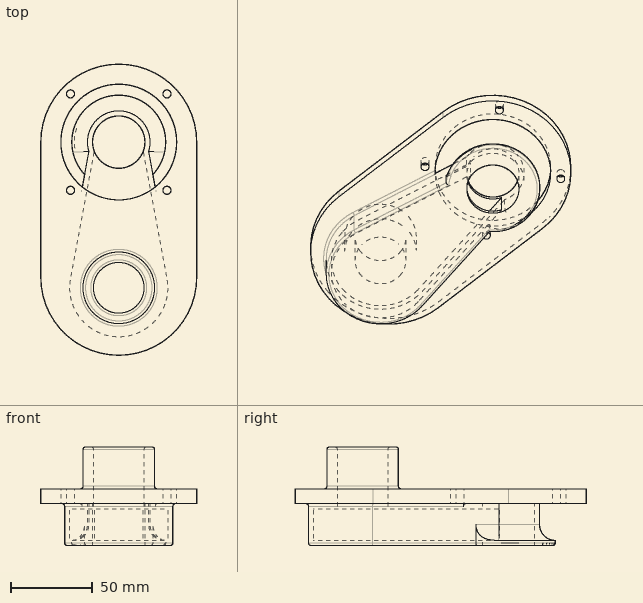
import cadquery as cq
import math

plate_length = 177.8
plate_width = 95.3
plate_thickness = 9.0
plate_center_y = -(plate_length - plate_width) / 2

arm_height = 25.6
wall = 3.2
center_distance = 88.9
arm_end_diameter = 66.3
web_line_offset = 16.9
hub_bore_diameter = 31.8
hub_radius = hub_bore_diameter / 2 + wall

flare_radius = 9.6
flange_radius = hub_radius + flare_radius

spigot_diameter = 43.7
spigot_bore_diameter = 31.0
spigot_height = 25.6

window_diameter = 70.5
screw_hole_diameter = 4.8
screw_hole_spacing = 58.9

edge_round = 1.6

plate_top = arm_height + plate_thickness
arm_end_radius = arm_end_diameter / 2
spigot_center = (0, -center_distance)

wall_tilt = math.asin((arm_end_radius - web_line_offset) / center_distance)


def vertical_cylinder(center, radius, bottom, height):
    return cq.Workplane("XY", origin=(0, 0, bottom)).center(*center).circle(radius).extrude(height)


def arm_volume(hub_end_radius, inset, bottom, height):
    """Round hub end and round arm end joined by a tapered web, with all walls moved in by inset."""
    normal_x = math.cos(wall_tilt)
    normal_y = math.sin(wall_tilt)
    near = web_line_offset - inset
    far = arm_end_radius - inset
    near_x, near_y = near * normal_x, near * normal_y
    far_x, far_y = far * normal_x, far * normal_y - center_distance
    web = (
        cq.Workplane("XY", origin=(0, 0, bottom))
        .moveTo(-near_x, near_y)
        .lineTo(-far_x, far_y)
        .threePointArc((0, -center_distance - far), (far_x, far_y))
        .lineTo(near_x, near_y)
        .close()
        .extrude(height)
    )
    return web.union(vertical_cylinder((0, 0), hub_end_radius, bottom, height))


def flared_foot():
    """Disc at the hub base with a concave flare up to the hub and along both side walls."""
    flare_top = wall + flare_radius
    arc_reach = flare_radius * (1 - math.sqrt(0.5))

    def flare_profile(wall_position):
        return (
            cq.Workplane("XZ")
            .lineTo(wall_position + flare_radius, 0)
            .lineTo(wall_position + flare_radius, wall)
            .threePointArc(
                (wall_position + arc_reach, wall + arc_reach),
                (wall_position, flare_top),
            )
            .lineTo(0, flare_top)
            .close()
        )

    disc = flare_profile(hub_radius).revolve(360, (0, 0), (0, 1))
    disc_limit = vertical_cylinder((0, 0), flange_radius, 0, flare_top)
    right_strip = (
        flare_profile(web_line_offset)
        .extrude(flange_radius)
        .rotate((0, 0, 0), (0, 0, 1), math.degrees(wall_tilt))
        .intersect(disc_limit)
    )
    return disc.union(right_strip).union(right_strip.mirror("YZ"))


def plate():
    """Round-ended plate with its screw holes, still without the window."""
    blank = (
        cq.Workplane("XY", origin=(0, plate_center_y, arm_height))
        .slot2D(plate_length, plate_width, 90)
        .extrude(plate_thickness)
    )
    screw_holes = (
        cq.Workplane("XY", origin=(0, 0, arm_height))
        .rect(screw_hole_spacing, screw_hole_spacing, forConstruction=True)
        .vertices()
        .circle(screw_hole_diameter / 2)
        .extrude(plate_thickness)
    )
    return blank.cut(screw_holes)


def spigot():
    """Tube standing on the plate, rounded on both edges of its rim."""
    tube = (
        cq.Workplane("XY", origin=(0, 0, plate_top))
        .center(*spigot_center)
        .circle(spigot_diameter / 2)
        .circle(spigot_bore_diameter / 2)
        .extrude(spigot_height)
    )
    return tube.faces(">Z").edges().fillet(edge_round)


arm = arm_volume(hub_radius, 0, 0, arm_height).union(flared_foot())
arm = arm.faces("<Z").edges().fillet(edge_round)

body = arm.union(plate())
arm_root = cq.selectors.BoxSelector(
    (-arm_end_radius, -center_distance, arm_height - edge_round),
    (arm_end_radius, 0, arm_height + edge_round),
)
body = body.edges(arm_root).edges("%LINE").fillet(edge_round)

window_bottom = arm_height - edge_round
window = vertical_cylinder((0, 0), window_diameter / 2, window_bottom, plate_top - window_bottom)
body = body.cut(window.cut(arm))

body = body.union(spigot())

spigot_root = cq.selectors.BoxSelector(
    (-spigot_diameter, -center_distance - spigot_diameter / 2 - edge_round, plate_top - edge_round),
    (spigot_diameter, -center_distance + spigot_diameter / 2 + edge_round, plate_top + edge_round),
    boundingbox=True,
)
largest = cq.selectors.RadiusNthSelector(-1)
body = body.edges(spigot_root).edges(largest).fillet(edge_round)

body = body.cut(vertical_cylinder((0, 0), hub_bore_diameter / 2, 0, arm_height))

passage = arm_volume(hub_bore_diameter / 2, wall, wall, arm_height - 2 * wall)
body = body.cut(passage)

bore_bottom = arm_height - wall
bore = vertical_cylinder(spigot_center, spigot_bore_diameter / 2, bore_bottom, plate_top - bore_bottom)
result = body.cut(bore)